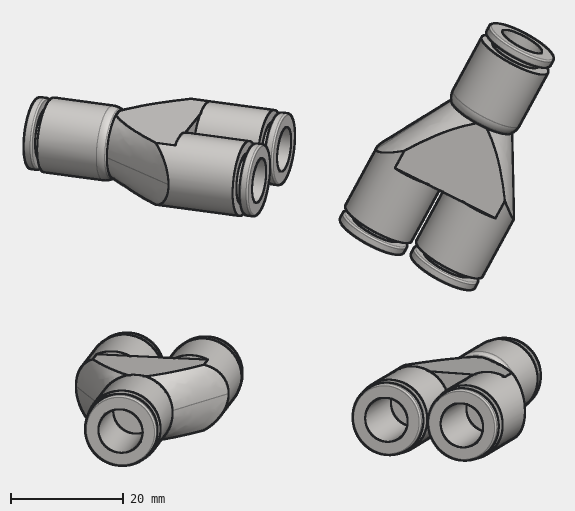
import cadquery as cq
import math


LENGTH = 44.6
SLEEVE_DIAMETER = 13.5
SLEEVE_RADIUS = SLEEVE_DIAMETER / 2
BRANCH_OFFSET = 7.15

FLANGE_RADIUS = 6.5
FLANGE_THICKNESS = 1.65
FLANGE_ROUND = 0.3
COLLAR_RADIUS = 4.6
COLLAR_LENGTH = 2.75

SHOULDER_START = 13.85
NECK_X = 15.65
SHOULDER_ROUND = 2.9
SHOULDER_SLOPE = math.radians(30)

WEB_END = 29.8
WEB_HALF_HEIGHT = 6.05
NECK_RADIUS = 6.15
MITRE_SLOPE = 0.97
MITRE_X = WEB_END - MITRE_SLOPE * SLEEVE_RADIUS
ARM_ANGLE = math.radians(85)
ARM_RULING_GAPS = 16
JOIN_TOLERANCE = 0.001

BORE_RADIUS = 4.0
BORE_DEPTH = SHOULDER_START


def collar(open_x, direction, axis_y):
    """Flanged collar that starts at its opening face and points inwards along X."""

    def disc(radius, length):
        face = cq.Workplane("YZ", origin=(open_x, axis_y, 0))
        return face.circle(radius).extrude(direction * length)

    flange = disc(FLANGE_RADIUS, FLANGE_THICKNESS).edges().fillet(FLANGE_ROUND)
    return flange.union(disc(COLLAR_RADIUS, COLLAR_LENGTH))


def bore(open_x, direction, axis_y):
    """Blind tube bore cut from an opening face."""
    face = cq.Workplane("YZ", origin=(open_x, axis_y, 0))
    return face.circle(BORE_RADIUS).extrude(direction * BORE_DEPTH)


def trunk_sleeve():
    """Trunk sleeve whose inner end rounds into a short cone down to the neck."""
    arc_length_x = SHOULDER_ROUND * math.sin(SHOULDER_SLOPE)
    arc_end = (
        SHOULDER_START + arc_length_x,
        SLEEVE_RADIUS - SHOULDER_ROUND * (1 - math.cos(SHOULDER_SLOPE)),
    )
    arc_middle = (
        SHOULDER_START + SHOULDER_ROUND * math.sin(SHOULDER_SLOPE / 2),
        SLEEVE_RADIUS - SHOULDER_ROUND * (1 - math.cos(SHOULDER_SLOPE / 2)),
    )
    profile = (
        cq.Workplane("XY")
        .moveTo(COLLAR_LENGTH, 0)
        .lineTo(COLLAR_LENGTH, SLEEVE_RADIUS)
        .lineTo(SHOULDER_START, SLEEVE_RADIUS)
        .threePointArc(arc_middle, arc_end)
        .lineTo(NECK_X, NECK_RADIUS)
        .lineTo(NECK_X, 0)
        .close()
    )
    return profile.revolve(360, (0, 0, 0), (1, 0, 0))


def branch_sleeve(side):
    """Branch sleeve from its mitred end in the web to its collar."""
    start = WEB_END - 2 * MITRE_SLOPE * SLEEVE_RADIUS
    sleeve = (
        cq.Workplane("YZ", origin=(start, side * BRANCH_OFFSET, 0))
        .circle(SLEEVE_RADIUS)
        .extrude(LENGTH - COLLAR_LENGTH - start)
    )
    inner_y = side * (BRANCH_OFFSET - SLEEVE_RADIUS)
    outer_y = side * (BRANCH_OFFSET + SLEEVE_RADIUS)
    before_mitre = (
        cq.Workplane("XY", origin=(0, 0, -SLEEVE_RADIUS))
        .polyline([(start, inner_y), (WEB_END, outer_y), (start, outer_y)])
        .close()
        .extrude(2 * SLEEVE_RADIUS)
    )
    return sleeve.cut(before_mitre)


def arm_ruling(neck_angle):
    """End points of one straight ruling of the arm, at the neck circle and on the mitred end.

    The angle is measured around the trunk axis from the outermost point. Every ruling joins two
    points that share a tangent plane, so the arm is a developable skin between circle and ellipse.
    The shared plane gives a * cos(branch_angle) + b * sin(branch_angle) = c.
    """
    mitre_run = (MITRE_X - NECK_X) / MITRE_SLOPE
    a = mitre_run * math.sin(neck_angle)
    b = (BRANCH_OFFSET - mitre_run) * math.cos(neck_angle) - NECK_RADIUS
    c = -SLEEVE_RADIUS * math.sin(neck_angle)
    branch_angle = math.atan2(b, a) + math.acos(c / math.hypot(a, b))
    neck_point = cq.Vector(
        NECK_X,
        NECK_RADIUS * math.cos(neck_angle),
        NECK_RADIUS * math.sin(neck_angle),
    )
    mitre_point = cq.Vector(
        MITRE_X + MITRE_SLOPE * SLEEVE_RADIUS * math.cos(branch_angle),
        BRANCH_OFFSET + SLEEVE_RADIUS * math.cos(branch_angle),
        SLEEVE_RADIUS * math.sin(branch_angle),
    )
    return neck_point, mitre_point


def arm_section(points, angles):
    """Closed upper-half section: a smooth curve, a vertical inner side and a flat bottom."""
    top = points[-1]
    inner_corner = cq.Vector(top.x, top.y, 0)
    return cq.Wire.assembleEdges([
        cq.Edge.makeSpline(points, parameters=angles),
        cq.Edge.makeLine(top, inner_corner),
        cq.Edge.makeLine(inner_corner, points[0]),
    ])


def arm_half():
    """Upper half of the +Y arm, lofted from the neck to the mitred branch end."""
    angles = [ARM_ANGLE * i / ARM_RULING_GAPS for i in range(ARM_RULING_GAPS + 1)]
    neck_points, mitre_points = zip(*[arm_ruling(angle) for angle in angles])
    sections = [arm_section(neck_points, angles), arm_section(mitre_points, angles)]
    return cq.Workplane(cq.Solid.makeLoft(sections, True))


def web_filling():
    """Block between the two arms."""
    neck_point, mitre_point = arm_ruling(ARM_ANGLE)
    side = [
        (neck_point.x, neck_point.y),
        (mitre_point.x, mitre_point.y),
        (WEB_END, BRANCH_OFFSET),
    ]
    other_side = [(x, -y) for x, y in reversed(side)]
    return (
        cq.Workplane("XY", origin=(0, 0, -WEB_HALF_HEIGHT))
        .polyline(side + other_side)
        .close()
        .extrude(2 * WEB_HALF_HEIGHT)
    )


def web_slabs():
    """Material above and below the web, cut away to leave its two flats."""
    length = WEB_END - NECK_X
    height = SLEEVE_RADIUS - WEB_HALF_HEIGHT
    slab = cq.Workplane("XY").box(length, LENGTH, 2 * height, centered=(False, True, False))
    upper = slab.translate((NECK_X, 0, WEB_HALF_HEIGHT))
    return upper.union(upper.mirror("XY"))


OPENINGS = [(0, 1, 0), (LENGTH, -1, BRANCH_OFFSET), (LENGTH, -1, -BRANCH_OFFSET)]

upper_arm = arm_half()
lower_arm = upper_arm.mirror("XY")

body = trunk_sleeve()
for arm in (upper_arm, lower_arm):
    body = body.union(arm, tol=JOIN_TOLERANCE)
    body = body.union(arm.mirror("XZ"), tol=JOIN_TOLERANCE)
for branch_side in (1, -1):
    body = body.union(branch_sleeve(branch_side), tol=JOIN_TOLERANCE)
body = body.cut(web_slabs()).union(web_filling())

for opening in OPENINGS:
    body = body.union(collar(*opening))
for opening in OPENINGS:
    body = body.cut(bore(*opening))

result = body